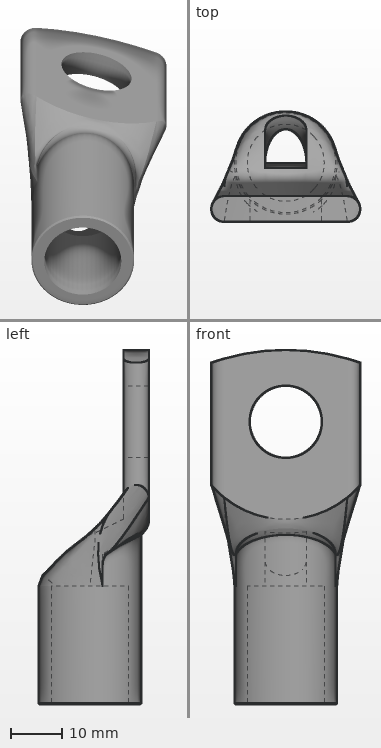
import cadquery as cq
import math


BARREL_RADIUS = 10.0
BORE_RADIUS = 7.5
BARREL_BACK_HEIGHT = 23.0
MOUTH_CHAMFER = 0.3
STEP_Y = -2.5
FRONT_AXIS_HEIGHT = 28.0
FRONT_SLOPE = 0.5

TOTAL_HEIGHT = 69.0
PALM_WIDTH = 29.0
PALM_THICKNESS = 5.0
PALM_FRONT_Y = -11.5
PALM_TOP_RADIUS = 43.0
BOLT_HOLE_RADIUS = 7.0
BOLT_HOLE_HEIGHT = 55.0
PALM_BASE_RADIUS = 19.0
PALM_BACK_Y = PALM_FRONT_Y + PALM_THICKNESS
PALM_MID_Y = PALM_FRONT_Y + PALM_THICKNESS / 2
PALM_HALF_WIDTH = PALM_WIDTH / 2
PALM_FLAT_HALF_WIDTH = PALM_HALF_WIDTH - PALM_THICKNESS / 2

NECK_BACK_CREST = (0.0, 5.2, 29.4)
NECK_BACK_CORNER = (11.4, -2.0, 33.2)
NECK_SIDE = (11.4, -3.6, 32.6)
NECK_FRONT_CORNER = (10.8, -5.2, 31.2)
NECK_FRONT_CREST = (0.0, -11.4, 35.0)
LIP_CREST = (0.0, -11.0, 34.2)

WINDOW_RADIUS = 4.0
WINDOW_TILT = 52.0
WINDOW_TOP_LEAN = 1.0
WINDOW_TOP_RISE = 9.0

SIDE_CLEARANCE = 1.0
SEW_TOLERANCE = 0.01
REACH = 40.0


def front_plane_height(y):
    return FRONT_AXIS_HEIGHT - FRONT_SLOPE * y


def palm_base_height(x):
    return BOLT_HOLE_HEIGHT - math.sqrt(PALM_BASE_RADIUS**2 - x**2)


def mirrored(point):
    return (-point[0], point[1], point[2])


def make_barrel():
    """Cylinder whose top is flat at the back and sloped at the front."""
    side = 2 * BARREL_RADIUS
    outline = (
        cq.Workplane("YZ", origin=(-side, 0, 0))
        .polyline([
            (-side, 0),
            (side, 0),
            (side, BARREL_BACK_HEIGHT),
            (STEP_Y, BARREL_BACK_HEIGHT),
            (STEP_Y, front_plane_height(STEP_Y)),
            (-side, front_plane_height(-side)),
        ])
        .close()
        .extrude(2 * side)
    )
    step_angle = math.degrees(math.asin(STEP_Y / BARREL_RADIUS))
    cylinder = (
        cq.Workplane("XY")
        .circle(BARREL_RADIUS)
        .extrude(TOTAL_HEIGHT)
        .rotate((0, 0, 0), (0, 0, 1), step_angle)
    )
    return cylinder.faces("<Z").chamfer(MOUTH_CHAMFER).intersect(outline)


def make_palm():
    """Plate with fully rounded long edges, a domed top and a round lower end."""
    half = PALM_HALF_WIDTH + SIDE_CLEARANCE
    top_edge = TOTAL_HEIGHT - PALM_TOP_RADIUS + math.sqrt(PALM_TOP_RADIUS**2 - half**2)
    base_edge = palm_base_height(half)
    outline = (
        cq.Workplane("XZ")
        .moveTo(-half, base_edge)
        .threePointArc((0, palm_base_height(0)), (half, base_edge))
        .lineTo(half, top_edge)
        .threePointArc((0, TOTAL_HEIGHT), (-half, top_edge))
        .close()
        .extrude(REACH, both=True)
    )
    bar = (
        cq.Workplane("XY")
        .moveTo(-PALM_FLAT_HALF_WIDTH, PALM_BACK_Y)
        .lineTo(PALM_FLAT_HALF_WIDTH, PALM_BACK_Y)
        .threePointArc((PALM_HALF_WIDTH, PALM_MID_Y), (PALM_FLAT_HALF_WIDTH, PALM_FRONT_Y))
        .lineTo(-PALM_FLAT_HALF_WIDTH, PALM_FRONT_Y)
        .threePointArc((-PALM_HALF_WIDTH, PALM_MID_Y), (-PALM_FLAT_HALF_WIDTH, PALM_BACK_Y))
        .close()
        .extrude(TOTAL_HEIGHT)
    )
    return bar.intersect(outline)


def make_section(back_corner, back_crest, side, front_corner, front_crest):
    """Closed loop of four arcs, symmetric about X = 0: back, right side, front, left side."""
    stops = [
        mirrored(back_corner), back_crest,
        back_corner, side,
        front_corner, front_crest,
        mirrored(front_corner), mirrored(side),
        mirrored(back_corner),
    ]
    points = [cq.Vector(*stop) for stop in stops]
    edges = [cq.Edge.makeThreePointArc(*points[i:i + 3]) for i in range(0, len(points) - 1, 2)]
    return cq.Wire.assembleEdges(edges)


def sorted_edges(edges):
    """Put four edges in the order back, right side, front, left side."""
    back = max(edges, key=lambda edge: edge.Center().y)
    front = min(edges, key=lambda edge: edge.Center().y)
    right = max(edges, key=lambda edge: edge.Center().x)
    left = min(edges, key=lambda edge: edge.Center().x)
    return [back, right, front, left]


def make_outer_body():
    """Barrel and palm joined by a smooth neck, sewn into one solid."""
    barrel = make_barrel()
    palm = make_palm()
    palm_base = palm.faces("<Z").val()
    barrel_wall = barrel.faces("%CYLINDER")
    wall_edges = barrel_wall.edges().vals()
    rim_edges = [edge for edge in wall_edges if edge.BoundingBox().zmin > BARREL_BACK_HEIGHT / 2]

    back, right, front, left = sorted_edges(rim_edges)
    lip = cq.Edge.makeThreePointArc(front.startPoint(), cq.Vector(*LIP_CREST), front.endPoint())
    lip_underside = cq.Face.makeRuledSurface(front, lip)

    lower = cq.Wire.assembleEdges([back, right, lip, left])
    middle = make_section(
        NECK_BACK_CORNER, NECK_BACK_CREST, NECK_SIDE, NECK_FRONT_CORNER, NECK_FRONT_CREST
    )
    upper = cq.Wire.assembleEdges(sorted_edges(palm_base.Edges()))
    neck = cq.occ_impl.shapes.loft(lower, middle, upper)

    faces = barrel_wall.vals() + barrel.faces("%CONE").vals() + barrel.faces("<Z").vals()
    faces += [face for face in palm.faces().vals() if not face.isSame(palm_base)]
    faces += [lip_underside] + neck.Faces()
    return cq.Workplane(cq.occ_impl.shapes.solid(*faces, tol=SEW_TOLERANCE))


def make_window():
    """Tilted arch-shaped cutter, open into the bore and closed at the front by a leaning flat wall."""
    tilt = math.radians(WINDOW_TILT)
    axis = cq.Vector(0, math.sin(tilt), math.cos(tilt))
    plane = cq.Plane((0, 0, BARREL_BACK_HEIGHT), (1, 0, 0), axis)
    arch = (
        cq.Workplane(plane)
        .moveTo(-WINDOW_RADIUS, 0)
        .lineTo(-WINDOW_RADIUS, -REACH)
        .lineTo(WINDOW_RADIUS, -REACH)
        .lineTo(WINDOW_RADIUS, 0)
        .threePointArc((0, WINDOW_RADIUS), (-WINDOW_RADIUS, 0))
        .close()
        .extrude(REACH, both=True)
    )
    limit = (
        cq.Workplane("YZ", origin=(-WINDOW_RADIUS, 0, 0))
        .moveTo(0, BARREL_BACK_HEIGHT)
        .lineTo(-WINDOW_TOP_LEAN, BARREL_BACK_HEIGHT + WINDOW_TOP_RISE)
        .lineTo(-WINDOW_TOP_LEAN, TOTAL_HEIGHT)
        .lineTo(REACH, TOTAL_HEIGHT)
        .lineTo(REACH, BARREL_BACK_HEIGHT)
        .close()
        .extrude(2 * WINDOW_RADIUS)
    )
    return arch.intersect(limit)


def make_bore():
    return cq.Workplane("XY").circle(BORE_RADIUS).extrude(BARREL_BACK_HEIGHT)


def make_bolt_hole():
    return (
        cq.Workplane("XZ")
        .center(0, BOLT_HOLE_HEIGHT)
        .circle(BOLT_HOLE_RADIUS)
        .extrude(REACH, both=True)
    )


lug = make_outer_body().cut(make_bore()).cut(make_window()).cut(make_bolt_hole())
result = cq.Workplane(lug.solids().val())